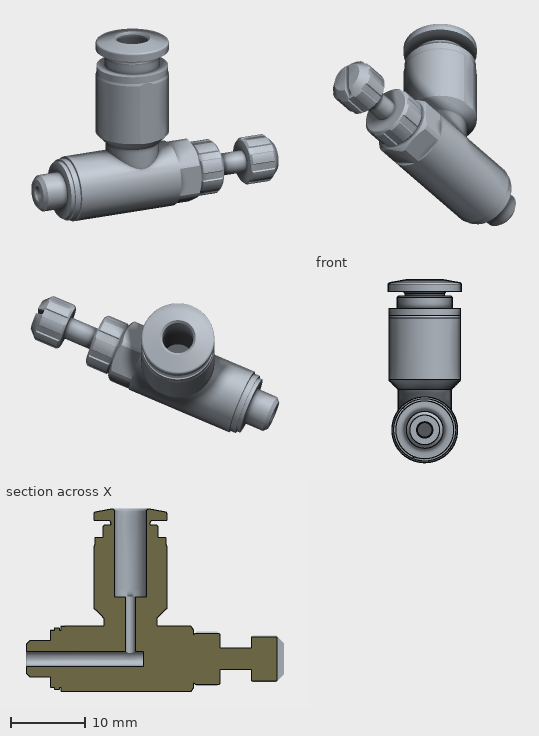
import cadquery as cq
import math


OVERALL_HEIGHT = 24.75

BODY_R = 8.9 / 2
BODY_FRONT_Y = -9.45
RING_R = 8.4 / 2
RING_GAP = 0.1
RING_FRONT_Y = -10.28
SHOULDER_R = 7.8 / 2
SHOULDER_FRONT_Y = -10.8
SPIGOT_R = 5.0 / 2
SPIGOT_FRONT_Y = -14.08
SPIGOT_CHAMFER = 0.5

HEX_FRONT_Y = 5.25
HEX_BACK_Y = 8.57
HEX_SIDES = 6
HEX_ACROSS_FLATS = 7.98
HEX_END_R = 3.87
HEX_CHAMFER_LENGTH = 0.4

NUT_BACK_Y = 12.13
NUT_R = 7.4 / 2
NUT_CHAMFER = 0.4
SHAFT_R = 3.0 / 2
KNOB_FRONT_Y = 16.27
KNOB_BACK_Y = 20.77
KNOB_R = 6.4 / 2
KNOB_CHAMFER = 0.28
KNOB_TIP_R = 4.2 / 2
KNOB_TAPER_LENGTH = 1.08
SLOT_WIDTH = 0.7
SLOT_DEPTH = 0.98

GROOVE_COUNT = 8
GROOVE_FLOOR_WIDTH = 0.95
GROOVE_TOP_WIDTH = 1.32
GROOVE_DEPTH = 0.2

NECK_R = 7.2 / 2
PORT_R = 9.9 / 2
NECK_TOP_Z = 5.47
PORT_BOTTOM_Z = NECK_TOP_Z + PORT_R - NECK_R
PORT_CHAMFER_Z = 15.12
COLLAR_R = 9.7 / 2
COLLAR_BOTTOM_Z = 15.45
COLLAR_TOP_Z = 16.4
INSERT_R = 7.5 / 2
INSERT_TOP_Z = 18.1
INSERT_CHAMFER = 0.2
SLEEVE_R = 5.4 / 2
SLEEVE_TOP_Z = 18.4
FLANGE_R = PORT_R
FLANGE_BOTTOM_Z = 18.68
FLANGE_TOP_Z = OVERALL_HEIGHT - BODY_R
FLANGE_UNDERSIDE_R = 2.82
FLANGE_RIM_Z = 19.83
FLANGE_RIM_FILLET = 0.28

TUBE_BORE_R = 4.2 / 2
TUBE_BORE_FLOOR_Z = 8.35
TUBE_BORE_CHAMFER = 0.3
LINK_BORE_R = 1.32 / 2
SPIGOT_BORE_R = 2.0 / 2
SPIGOT_BORE_END_Y = 1.75
SPIGOT_BORE_CHAMFER = 0.1


def cylinder_y(radius, y_start, y_end):
    """Cylinder on the Y axis between two Y positions."""
    plane = cq.Workplane("XZ", origin=(0, y_end, 0))
    return plane.circle(radius).extrude(y_end - y_start)


def revolve_y(points):
    """Solid of revolution about Y from (radius, y) points."""
    return cq.Workplane("XY").polyline(points).close().revolve(360, (0, 0), (0, 1))


def cut_grip_grooves(solid, radius, y_start, y_end):
    """Cut evenly spaced tapered grooves along Y into a round grip."""
    floor_r = radius - GROOVE_DEPTH
    outer_r = radius + GROOVE_DEPTH
    slope = (GROOVE_TOP_WIDTH - GROOVE_FLOOR_WIDTH) / GROOVE_DEPTH
    outer_width = GROOVE_FLOOR_WIDTH + slope * (outer_r - floor_r)
    groove = (
        cq.Workplane("XZ", origin=(0, y_end, 0))
        .moveTo(-GROOVE_FLOOR_WIDTH / 2, floor_r)
        .lineTo(GROOVE_FLOOR_WIDTH / 2, floor_r)
        .lineTo(outer_width / 2, outer_r)
        .lineTo(-outer_width / 2, outer_r)
        .close()
        .extrude(y_end - y_start)
    )
    for i in range(GROOVE_COUNT):
        angle = i * 360 / GROOVE_COUNT
        solid = solid.cut(groove.rotate((0, 0, 0), (0, 1, 0), angle))
    return solid


def make_body():
    """Main cylinder, then a ring behind a narrow gap on the shoulder, then the chamfered spigot."""
    body = cylinder_y(BODY_R, BODY_FRONT_Y, HEX_FRONT_Y)
    ring = cylinder_y(RING_R, RING_FRONT_Y, BODY_FRONT_Y - RING_GAP)
    shoulder = cylinder_y(SHOULDER_R, SHOULDER_FRONT_Y, BODY_FRONT_Y)
    spigot = cylinder_y(SPIGOT_R, SPIGOT_FRONT_Y, SHOULDER_FRONT_Y)
    spigot = spigot.faces("<Y").chamfer(SPIGOT_CHAMFER)
    return body.union(ring).union(shoulder).union(spigot)


def make_hexagon():
    """Hexagon with two flats facing +X and -X, its corners turned to the body radius."""
    half_sector = 180 / HEX_SIDES
    corner_diameter = HEX_ACROSS_FLATS / math.cos(math.radians(half_sector))
    prism = (
        cq.Workplane("XZ", origin=(0, HEX_BACK_Y, 0))
        .transformed(rotate=(0, 0, half_sector))
        .polygon(HEX_SIDES, corner_diameter)
        .extrude(HEX_BACK_Y - HEX_FRONT_Y)
    )
    envelope = revolve_y([
        (0, HEX_FRONT_Y),
        (BODY_R, HEX_FRONT_Y),
        (BODY_R, HEX_BACK_Y - HEX_CHAMFER_LENGTH),
        (HEX_END_R, HEX_BACK_Y),
        (0, HEX_BACK_Y),
    ])
    return prism.intersect(envelope)


def make_lock_nut():
    """Grooved round nut, chamfered at both ends."""
    nut = cylinder_y(NUT_R, HEX_BACK_Y, NUT_BACK_Y)
    nut = nut.faces("<Y or >Y").chamfer(NUT_CHAMFER)
    return cut_grip_grooves(nut, NUT_R, HEX_BACK_Y, NUT_BACK_Y)


def make_knob():
    """Grooved knob with a tapered tip and a screwdriver slot along Z."""
    knob = revolve_y([
        (0, KNOB_FRONT_Y),
        (KNOB_R - KNOB_CHAMFER, KNOB_FRONT_Y),
        (KNOB_R, KNOB_FRONT_Y + KNOB_CHAMFER),
        (KNOB_R, KNOB_BACK_Y - KNOB_TAPER_LENGTH),
        (KNOB_TIP_R, KNOB_BACK_Y),
        (0, KNOB_BACK_Y),
    ])
    knob = cut_grip_grooves(knob, KNOB_R, KNOB_FRONT_Y, KNOB_BACK_Y)
    slot = cq.Workplane("XY").box(SLOT_WIDTH, 2 * SLOT_DEPTH, 2 * KNOB_R)
    return knob.cut(slot.translate((0, KNOB_BACK_Y, 0)))


def make_port():
    """Neck, port body, collar and release flange turned about Z, with two side flats."""
    profile = [
        (0, 0),
        (NECK_R, 0),
        (NECK_R, NECK_TOP_Z),
        (PORT_R, PORT_BOTTOM_Z),
        (PORT_R, PORT_CHAMFER_Z),
        (COLLAR_R, COLLAR_BOTTOM_Z),
        (COLLAR_R, COLLAR_TOP_Z),
        (INSERT_R, COLLAR_TOP_Z),
        (INSERT_R, INSERT_TOP_Z - INSERT_CHAMFER),
        (INSERT_R - INSERT_CHAMFER, INSERT_TOP_Z),
        (SLEEVE_R, INSERT_TOP_Z),
        (SLEEVE_R, SLEEVE_TOP_Z),
        (FLANGE_UNDERSIDE_R, FLANGE_BOTTOM_Z),
        (0, FLANGE_BOTTOM_Z),
    ]
    port = cq.Workplane("XZ").polyline(profile).close().revolve(360, (0, 0), (0, 1))

    across_flats = (
        cq.Workplane("XY")
        .rect(2 * COLLAR_R, 2 * PORT_R)
        .extrude(FLANGE_BOTTOM_Z)
    )
    return port.intersect(across_flats).union(make_flange())


def make_flange():
    """Release flange with a shallow conical top and a rounded rim."""
    mouth_r = TUBE_BORE_R + TUBE_BORE_CHAMFER
    flange = (
        cq.Workplane("XZ")
        .moveTo(0, FLANGE_BOTTOM_Z)
        .lineTo(FLANGE_R, FLANGE_BOTTOM_Z)
        .lineTo(FLANGE_R, FLANGE_RIM_Z)
        .lineTo(mouth_r, FLANGE_TOP_Z)
        .lineTo(0, FLANGE_TOP_Z)
        .close()
        .revolve(360, (0, 0), (0, 1))
    )
    rim_edge = cq.selectors.NearestToPointSelector((0, 0, FLANGE_RIM_Z))
    return flange.edges(rim_edge).fillet(FLANGE_RIM_FILLET)


def make_bores():
    """Tube bore, the link bore below its floor, and the blind spigot bore they meet."""
    tube_bore = cq.Workplane("XZ").polyline([
        (0, TUBE_BORE_FLOOR_Z),
        (TUBE_BORE_R, TUBE_BORE_FLOOR_Z),
        (TUBE_BORE_R, FLANGE_TOP_Z - TUBE_BORE_CHAMFER),
        (TUBE_BORE_R + TUBE_BORE_CHAMFER, FLANGE_TOP_Z),
        (0, FLANGE_TOP_Z),
    ]).close().revolve(360, (0, 0), (0, 1))
    link_bore = cq.Workplane("XY").circle(LINK_BORE_R).extrude(TUBE_BORE_FLOOR_Z)
    spigot_bore = revolve_y([
        (0, SPIGOT_FRONT_Y),
        (SPIGOT_BORE_R + SPIGOT_BORE_CHAMFER, SPIGOT_FRONT_Y),
        (SPIGOT_BORE_R, SPIGOT_FRONT_Y + SPIGOT_BORE_CHAMFER),
        (SPIGOT_BORE_R, SPIGOT_BORE_END_Y),
        (0, SPIGOT_BORE_END_Y),
    ])
    return tube_bore.union(link_bore).union(spigot_bore)


shaft = cylinder_y(SHAFT_R, NUT_BACK_Y, KNOB_FRONT_Y)

result = make_body()
for piece in (make_hexagon(), make_lock_nut(), shaft, make_knob(), make_port()):
    result = result.union(piece)
result = result.cut(make_bores())